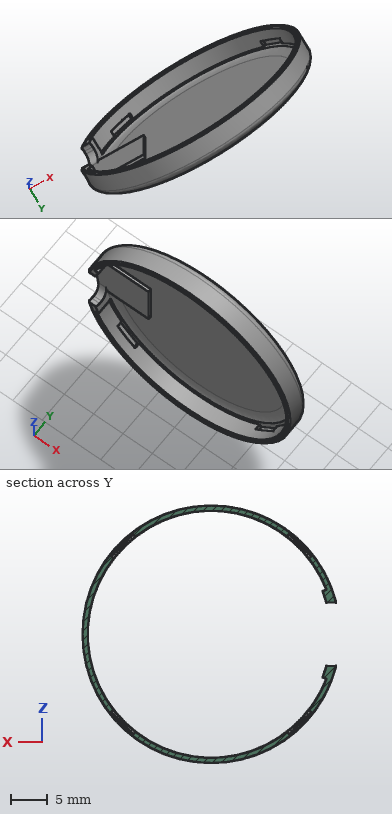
import cadquery as cq
import math

outer_radius = 17.5
depth = 4.4
back_round_width = 3.08
back_round_depth = 1.55
rim_chamfer = 0.2

bore_radius = 16.75
bowl_radius = 16.2
floor_radius = 14.5
ledge_y = 2.75
floor_y = 3.2

notch_half_width = 4.62
notch_depth = 2.65
notch_overshoot = 0.6
notch_corner_radius = 1.4
thick_wall_half_angle = 21.2

pad_inner_x = -8.58
pad_half_width = 3.95

snap_angles = (-45, 45, 135, 225)
snap_length = 4.2
snap_height = 0.88
snap_reach = 17.08


def disc(radius, start_y, end_y):
    """Solid disc about the Y axis from start_y to end_y."""
    return cq.Workplane("XZ", origin=(0, end_y, 0)).circle(radius).extrude(end_y - start_y)


def block(x_range, y_range, z_range):
    """Axis-aligned block given by its low and high limits."""
    limits = (x_range, y_range, z_range)
    sizes = [high - low for low, high in limits]
    corner = tuple(low for low, high in limits)
    return cq.Workplane("XY").box(*sizes, centered=False).translate(corner)


def revolve_profile(profile):
    return profile.close().revolve(360, (0, 0, 0), (0, 1, 0))


def make_body():
    """Solid cap with an elliptical back edge and a chamfered rim."""
    round_start_y = depth - back_round_depth
    profile = (
        cq.Workplane("XY")
        .lineTo(outer_radius - rim_chamfer, 0)
        .lineTo(outer_radius, rim_chamfer)
        .lineTo(outer_radius, round_start_y)
        .ellipseArc(back_round_width, back_round_depth, 0, 90, startAtCurrent=True)
        .lineTo(0, depth)
    )
    return revolve_profile(profile)


def make_cavity():
    """Bore with a chamfered mouth, ledge and rounded bowl."""
    bowl_width = bowl_radius - floor_radius
    bowl_depth = floor_y - ledge_y
    profile = (
        cq.Workplane("XY")
        .lineTo(bore_radius + rim_chamfer, 0)
        .lineTo(bore_radius, rim_chamfer)
        .lineTo(bore_radius, ledge_y)
        .lineTo(bowl_radius, ledge_y)
        .ellipseArc(bowl_width, bowl_depth, 0, 90, startAtCurrent=True)
        .lineTo(0, floor_y)
    )
    return revolve_profile(profile)


def make_thick_wall():
    """Wall sector centred on -X, filling the bore out to the bowl radius."""
    wall_radius = bore_radius + rim_chamfer
    sector_length = 2 * outer_radius
    sector_half_width = sector_length * math.tan(math.radians(thick_wall_half_angle))
    sector = (
        cq.Workplane("XZ", origin=(0, ledge_y, 0))
        .lineTo(-sector_length, sector_half_width)
        .lineTo(-sector_length, -sector_half_width)
        .close()
        .extrude(ledge_y)
    )
    ring = disc(wall_radius, 0, ledge_y).cut(disc(bowl_radius, 0, ledge_y))
    return ring.intersect(sector)


def make_notch():
    """Side opening, a rounded rectangle running past the rim so its mouth narrows slightly."""
    return (
        block(
            (-outer_radius, pad_inner_x),
            (-notch_overshoot, notch_depth),
            (-notch_half_width, notch_half_width),
        )
        .edges("|X")
        .fillet(notch_corner_radius)
    )


def make_pad():
    pad = block(
        (-outer_radius, pad_inner_x),
        (notch_depth, depth),
        (-pad_half_width, pad_half_width),
    )
    return pad.intersect(make_body())


def make_snap_recess(angle):
    recess = block(
        (bowl_radius, snap_reach),
        (ledge_y - snap_height, ledge_y),
        (-snap_length / 2, snap_length / 2),
    )
    return recess.rotate((0, 0, 0), (0, 1, 0), -angle)


result = make_body().cut(make_cavity()).union(make_thick_wall()).cut(make_notch()).union(make_pad())
for snap_angle in snap_angles:
    result = result.cut(make_snap_recess(snap_angle))